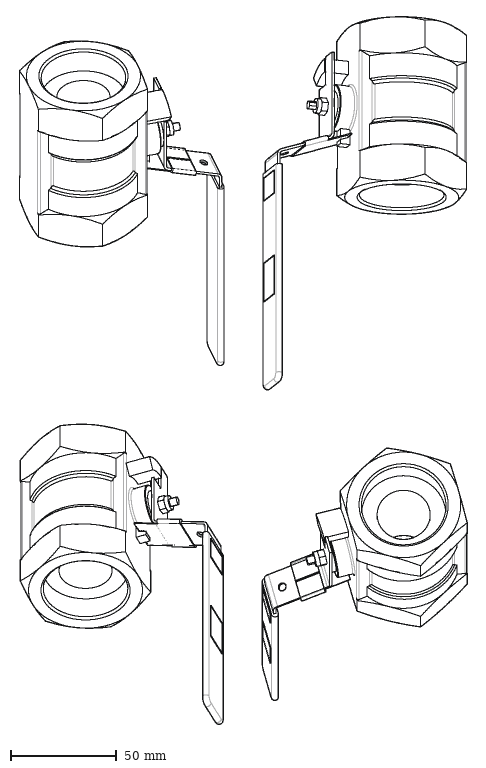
import cadquery as cq
import math


HEX_SIDES = 6

ACROSS_FLATS = 53.9
BODY_LENGTH = 81.0
HEAD_LENGTH = 18.0
HEX_CHAMFER_ANGLE = 30
PORT_DIAMETER = 40.0
PORT_DEPTH = 12.3
PORT_CHAMFER = 1.0
BORE_DIAMETER = 25.0
NECK_RADIUS = 25.5
NECK_LENGTH = 20.7
NECK_TAPER = 1.6
NECK_FILLET = 1.5
NECK_RIM_CHAMFER = 0.9
SLAB_FILLET = 1.0

flat_y = ACROSS_FLATS / 2
across_corners = ACROSS_FLATS / math.cos(math.pi / HEX_SIDES)
slab_width = across_corners / 2
hex_chamfer_height = (across_corners - ACROSS_FLATS) / 2 * math.tan(math.radians(HEX_CHAMFER_ANGLE))

BOSS_DIAMETER = 22.0
BOSS_HEIGHT = 8.2
BOSS_BASE_FILLET = 0.9
BOSS_EDGE_CHAMFER = 0.4
GLAND_DIAMETER = 16.0
STOP_INNER_RADIUS = 17.2
STOP_OUTER_RADIUS = 23.8
STOP_ANGLE = 39
STOP_HEIGHT = 12.0
LUG_WIDTH = 4.9
LUG_HEIGHT = 4.9
LUG_BOTTOM_Z = -18.2

LEVER_WIDTH = 16.9
LEVER_THICKNESS = 1.3
LEVER_INNER_Y = 37.2
LEVER_TOP_Z = 24.7
LEVER_BEND_Z = -17.0
LEVER_SLOPE = 20
LEVER_OUTER_Y = 65.2
BEND_INSIDE_RADIUS = 1.6
STOP_NOTCH_Z = 10.9
LEVER_HOLE_DIAMETER = 3.8
LEVER_HOLE_Y = 59.2

lever_mid_y = LEVER_INNER_Y + LEVER_THICKNESS / 2
slope_tan = math.tan(math.radians(LEVER_SLOPE))
slope_sin = math.sin(math.radians(LEVER_SLOPE))
slope_cos = math.cos(math.radians(LEVER_SLOPE))

STEM_DIAMETER = 3.8
STEM_END_Y = 47.2
STEM_FLAT_DISTANCE = 1.72
NUT_ACROSS_FLATS = 7.0
NUT_HEX_HEIGHT = 3.0
NUT_COLLAR_HEIGHT = 2.0
NUT_TURN = 48

nut_base_y = LEVER_INNER_Y + LEVER_THICKNESS
collar_base_y = nut_base_y + NUT_HEX_HEIGHT
collar_end_y = collar_base_y + NUT_COLLAR_HEIGHT

GRIP_WIDTH = 20.3
GRIP_THICKNESS = 3.3
GRIP_TOP_Z = -34.0
GRIP_CORNER_RADIUS = 4.0
GRIP_END_WALL = 3.6
PAD_WIDTH = 14.2
PAD_HEIGHT = 11.3
PAD_TOP_Z = -36.5
LONG_PAD_HEIGHT = 19.0
LONG_PAD_TOP_Z = -78.5
OVERALL_HEIGHT = 181.5
PAD_FACE_Y = 67.2

grip_bottom_z = BODY_LENGTH / 2 - OVERALL_HEIGHT
lever_end_z = grip_bottom_z + GRIP_END_WALL

SLIDE_SHEET = 0.5
SLIDE_INNER_Y = 40.8
SLIDE_OUTER_Y = 52.5
SLIDE_SEAM = 0.5
TONGUE_END_Y = 28.7

slide_thickness = LEVER_THICKNESS + 2 * SLIDE_SHEET
slide_length = (SLIDE_OUTER_Y - SLIDE_INNER_Y) / slope_cos
tongue_length = (SLIDE_INNER_Y - TONGUE_END_Y) / slope_cos


def along_y(y):
    """Workplane at height y whose normal is +Y; its local x is -X and its local y is +Z."""
    return cq.Workplane(cq.Plane(origin=(0, y, 0), xDir=(-1, 0, 0), normal=(0, 1, 0)))


def slope_z(y):
    """Height of the middle of the sloped lever plate at a given y."""
    return LEVER_BEND_Z - (y - lever_mid_y) * slope_tan


def slope_plane(y, direction):
    """Workplane centred on the sloped plate, facing along the slope or across its thickness."""
    normals = {"along": (0, slope_cos, -slope_sin), "across": (0, slope_sin, slope_cos)}
    return cq.Workplane(cq.Plane(origin=(0, y, slope_z(y)), xDir=(1, 0, 0), normal=normals[direction]))


def span_box(x_range, y_range, z_range):
    """Box between the given limits along each axis."""
    ranges = (x_range, y_range, z_range)
    sizes = [high - low for low, high in ranges]
    return cq.Workplane().box(*sizes, centered=False).translate(tuple(low for low, _ in ranges))


def hex_head(bottom_z):
    """Hexagon wrench head with both ends turned down to the inscribed circle."""
    head = cq.Workplane().polygon(HEX_SIDES, across_corners).extrude(HEAD_LENGTH)
    inner = ACROSS_FLATS / 2
    outer = across_corners / 2
    turned = (
        cq.Workplane("XZ")
        .polyline([
            (0, 0),
            (inner, 0),
            (outer, hex_chamfer_height),
            (outer, HEAD_LENGTH - hex_chamfer_height),
            (inner, HEAD_LENGTH),
            (0, HEAD_LENGTH),
        ])
        .close()
        .revolve(360, (0, 0, 0), (0, 1, 0))
    )
    return head.intersect(turned).translate((0, 0, bottom_z))


def side_slab():
    """Flat-sided slab joining the two heads on the +Y and -Y faces."""
    length = BODY_LENGTH - 2 * HEAD_LENGTH + 2 * hex_chamfer_height
    return cq.Workplane().box(slab_width, ACROSS_FLATS, length).edges("|Z").fillet(SLAB_FILLET)


def body_core():
    """Round middle with the necked groove, two hexagon heads and the side slab."""
    core = cq.Workplane().circle(ACROSS_FLATS / 2).extrude((BODY_LENGTH - HEAD_LENGTH) / 2, both=True)
    rim_inner = ACROSS_FLATS / 2 - NECK_RIM_CHAMFER
    rim_z = NECK_LENGTH / 2
    groove = (
        cq.Workplane("XZ")
        .moveTo(NECK_RADIUS, 0)
        .lineTo(NECK_RADIUS, rim_z - NECK_TAPER)
        .lineTo(rim_inner, rim_z)
        .lineTo(ACROSS_FLATS / 2, rim_z + NECK_RIM_CHAMFER)
        .lineTo(across_corners / 2, rim_z + NECK_RIM_CHAMFER)
        .lineTo(across_corners / 2, 0)
        .close()
        .revolve(360, (0, 0, 0), (0, 1, 0))
    )
    core = core.cut(groove).cut(groove.mirror("XY"))
    core = core.union(side_slab())
    corner_y = math.sqrt(NECK_RADIUS**2 - (slab_width / 2) ** 2)
    for side_x in (-slab_width / 2, slab_width / 2):
        for side_y in (-corner_y, corner_y):
            corner = cq.selectors.NearestToPointSelector((side_x, side_y, 0))
            core = core.edges(corner).fillet(NECK_FILLET)
    for bottom_z in (-BODY_LENGTH / 2, BODY_LENGTH / 2 - HEAD_LENGTH):
        core = core.union(hex_head(bottom_z))
    return core


def flow_passage():
    """Through bore with a chamfered counterbore at each port."""
    passage = cq.Workplane().circle(BORE_DIAMETER / 2).extrude(BODY_LENGTH / 2, both=True)
    radius = PORT_DIAMETER / 2
    port = (
        cq.Workplane("XZ", origin=(0, 0, BODY_LENGTH / 2))
        .polyline([
            (0, 0),
            (radius + PORT_CHAMFER, 0),
            (radius, -PORT_CHAMFER),
            (radius, -PORT_DEPTH),
            (0, -PORT_DEPTH),
        ])
        .close()
        .revolve(360, (0, 0, 0), (0, 1, 0))
    )
    return passage.union(port).union(port.mirror("XY"))


def travel_stop():
    """Ring sector about the stem axis that limits the lever travel."""
    end = math.radians(STOP_ANGLE)
    middle = end / 2

    def on_ring(radius, angle):
        return (-radius * math.sin(angle), radius * math.cos(angle))

    return (
        along_y(flat_y)
        .moveTo(*on_ring(STOP_INNER_RADIUS, 0))
        .lineTo(*on_ring(STOP_OUTER_RADIUS, 0))
        .threePointArc(on_ring(STOP_OUTER_RADIUS, middle), on_ring(STOP_OUTER_RADIUS, end))
        .lineTo(*on_ring(STOP_INNER_RADIUS, end))
        .threePointArc(on_ring(STOP_INNER_RADIUS, middle), on_ring(STOP_INNER_RADIUS, 0))
        .close()
        .extrude(STOP_HEIGHT)
    )


def stem_boss():
    """Boss and gland that carry the stem, with a rounded foot on the body flat."""
    radius = BOSS_DIAMETER / 2
    boss = along_y(flat_y).circle(radius).extrude(BOSS_HEIGHT).faces(">Y").chamfer(BOSS_EDGE_CHAMFER)
    foot = (
        cq.Workplane()
        .moveTo(0, flat_y)
        .lineTo(radius + BOSS_BASE_FILLET, flat_y)
        .radiusArc((radius, flat_y + BOSS_BASE_FILLET), BOSS_BASE_FILLET)
        .lineTo(0, flat_y + BOSS_BASE_FILLET)
        .close()
        .revolve(360, (0, 0, 0), (0, 1, 0))
    )
    gland = along_y(flat_y).circle(GLAND_DIAMETER / 2).extrude(LEVER_INNER_Y - flat_y)
    return boss.union(foot).union(gland)


def stem_and_nut():
    """Stem end through the lever with a flat, and its collared hexagon nut."""
    stem = along_y(flat_y).circle(STEM_DIAMETER / 2).extrude(STEM_END_Y - flat_y)
    radius = STEM_DIAMETER / 2
    flat_cut = span_box((-radius, -STEM_FLAT_DISTANCE), (collar_end_y, STEM_END_Y), (-radius, radius))
    nut = (
        along_y(nut_base_y)
        .polygon(HEX_SIDES, NUT_ACROSS_FLATS / math.cos(math.pi / HEX_SIDES))
        .extrude(NUT_HEX_HEIGHT)
        .rotate((0, 0, 0), (0, 1, 0), -NUT_TURN)
    )
    collar = along_y(collar_base_y).circle(NUT_ACROSS_FLATS / 2).extrude(NUT_COLLAR_HEIGHT)
    return stem.cut(flat_cut).union(nut).union(collar)


def make_lock_lug():
    """Lug below the boss that the lock slide engages."""
    return span_box(
        (-LUG_WIDTH / 2, LUG_WIDTH / 2),
        (flat_y, flat_y + LUG_HEIGHT),
        (LUG_BOTTOM_Z, 0),
    )


def make_valve_body(lug):
    """Body, boss, travel stop, lug and stem as one solid."""
    body = body_core().cut(flow_passage())
    for feature in (stem_boss(), travel_stop(), lug, stem_and_nut()):
        body = body.union(feature)
    return body


def make_lever():
    """Bent plate: upright at the stem, sloped outward, then hanging down into the grip."""
    half = LEVER_THICKNESS / 2
    rise = half / slope_cos
    upright = (lever_mid_y - half, lever_mid_y + half)
    hanging = (LEVER_OUTER_Y - half, LEVER_OUTER_Y + half)
    lever = (
        cq.Workplane("YZ")
        .polyline([
            (upright[0], LEVER_TOP_Z),
            (upright[1], LEVER_TOP_Z),
            (upright[1], slope_z(upright[1]) + rise),
            (hanging[1], slope_z(hanging[1]) + rise),
            (hanging[1], lever_end_z),
            (hanging[0], lever_end_z),
            (hanging[0], slope_z(hanging[0]) - rise),
            (upright[0], slope_z(upright[0]) - rise),
        ])
        .close()
        .extrude(LEVER_WIDTH / 2, both=True)
    )
    bend_outside_radius = BEND_INSIDE_RADIUS + LEVER_THICKNESS
    for side, upright_radius, hanging_radius in (
        (0, bend_outside_radius, BEND_INSIDE_RADIUS),
        (1, BEND_INSIDE_RADIUS, bend_outside_radius),
    ):
        offset = (2 * side - 1) * rise
        for y, radius in ((upright[side], upright_radius), (hanging[side], hanging_radius)):
            corner = cq.selectors.NearestToPointSelector((0, y, slope_z(y) + offset))
            lever = lever.edges("|X").edges(corner).fillet(radius)
    stem_hole = along_y(LEVER_INNER_Y).circle(STEM_DIAMETER / 2).extrude(LEVER_THICKNESS)
    stop_notch = span_box((0, LEVER_WIDTH), upright, (STOP_NOTCH_Z, LEVER_TOP_Z))
    lock_hole = slope_plane(LEVER_HOLE_Y, "across").circle(LEVER_HOLE_DIAMETER / 2)
    lock_hole = lock_hole.extrude(LEVER_THICKNESS, both=True)
    return lever.cut(stem_hole).cut(stop_notch).cut(lock_hole)


def make_lock_slide(lever, lug):
    """Folded sheet with a seam on top and a forked tongue that holds the lug."""
    section = slope_plane(SLIDE_INNER_Y, "along")
    slide = section.slot2D(GRIP_WIDTH, slide_thickness).extrude(slide_length)
    sheet_offset = (LEVER_THICKNESS + SLIDE_SHEET) / 2
    seam = section.center(0, -sheet_offset).rect(SLIDE_SEAM, SLIDE_SHEET).extrude(slide_length)
    tongue = section.center(0, sheet_offset).rect(LEVER_WIDTH, SLIDE_SHEET).extrude(-tongue_length)
    return slide.cut(seam).union(tongue).cut(lever).cut(lug)


def grip_rim_line():
    """Centre line of the grip's rounded edge: down one side, round the end and up the other."""
    edge_radius = GRIP_THICKNESS / 2
    rim_x = GRIP_WIDTH / 2 - edge_radius
    rim_z = grip_bottom_z + edge_radius
    corner = GRIP_CORNER_RADIUS - edge_radius
    return (
        cq.Workplane("XZ", origin=(0, LEVER_OUTER_Y, 0))
        .moveTo(-rim_x, GRIP_TOP_Z)
        .lineTo(-rim_x, rim_z + corner)
        .radiusArc((-rim_x + corner, rim_z), -corner)
        .lineTo(rim_x - corner, rim_z)
        .radiusArc((rim_x, rim_z + corner), -corner)
        .lineTo(rim_x, GRIP_TOP_Z)
    )


def make_grip(lever):
    """Round-edged sleeve with two raised pads on its outer face."""
    edge_radius = GRIP_THICKNESS / 2
    rim_x = GRIP_WIDTH / 2 - edge_radius
    panel = grip_rim_line().close().extrude(edge_radius, both=True)
    rim = (
        cq.Workplane(origin=(-rim_x, LEVER_OUTER_Y, GRIP_TOP_Z))
        .circle(edge_radius)
        .sweep(grip_rim_line())
    )
    grip = panel.union(rim)
    for top_z, pad_height in ((PAD_TOP_Z, PAD_HEIGHT), (LONG_PAD_TOP_Z, LONG_PAD_HEIGHT)):
        pad = span_box(
            (-PAD_WIDTH / 2, PAD_WIDTH / 2),
            (LEVER_OUTER_Y, PAD_FACE_Y),
            (top_z - pad_height, top_z),
        )
        grip = grip.union(pad)
    return grip.cut(lever)


lock_lug = make_lock_lug()
valve_body = make_valve_body(lock_lug)
lever = make_lever()
lock_slide = make_lock_slide(lever, lock_lug)
grip = make_grip(lever)

result = cq.Compound.makeCompound([
    valve_body.val(),
    lever.val(),
    lock_slide.val(),
    grip.val(),
])